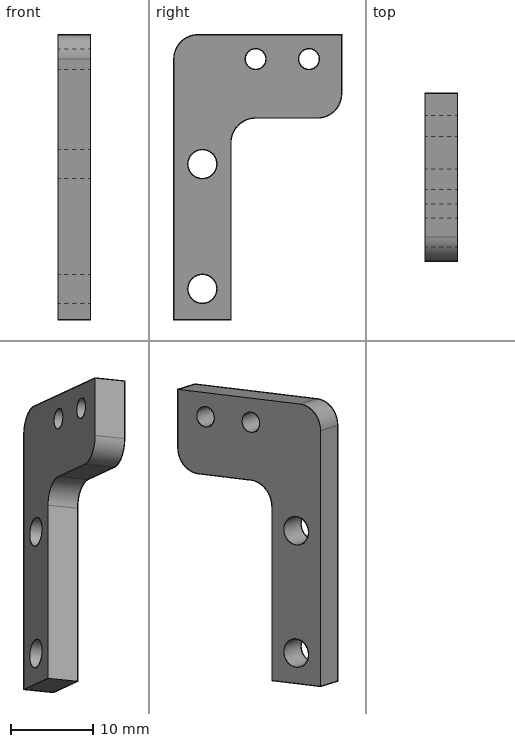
import cadquery as cq

thickness = 4.0
arm_length = 20.5
height = 34.8

leg_width = 7.0
arm_height = 10.2
corner_radius = 3.0

arm_hole_diameter = 2.5
arm_hole_drop = 3.0
arm_hole_end_gap = 4.0
arm_hole_spacing = 6.5

leg_hole_diameter = 3.5
lower_leg_hole_z = 3.8
leg_hole_spacing = 15.2

arm_underside_z = height - arm_height


def plate():
    """L-shaped plate with its outline in the YZ plane."""
    outline = [
        (0, 0),
        (leg_width, 0),
        (leg_width, arm_underside_z),
        (arm_length, arm_underside_z),
        (arm_length, height),
        (0, height),
    ]
    return cq.Workplane("YZ").polyline(outline).close().extrude(thickness)


def round_corner(body, y, z):
    """Round the edge along X that passes through (y, z)."""
    edge = cq.selectors.NearestToPointSelector((thickness / 2, y, z))
    return body.edges("|X").edges(edge).fillet(corner_radius)


def drill(body, centres, diameter):
    """Cut round holes through the thickness at the given (y, z) centres."""
    pins = cq.Workplane("YZ").pushPoints(centres).circle(diameter / 2).extrude(thickness)
    return body.cut(pins)


result = plate()

for corner_y, corner_z in [
    (0, height),
    (leg_width, arm_underside_z),
    (arm_length, arm_underside_z),
]:
    result = round_corner(result, corner_y, corner_z)

outer_arm_hole_y = arm_length - arm_hole_end_gap
arm_hole_z = height - arm_hole_drop
arm_holes = [(outer_arm_hole_y - i * arm_hole_spacing, arm_hole_z) for i in range(2)]
result = drill(result, arm_holes, arm_hole_diameter)

leg_holes = [(leg_width / 2, lower_leg_hole_z + i * leg_hole_spacing) for i in range(2)]
result = drill(result, leg_holes, leg_hole_diameter)